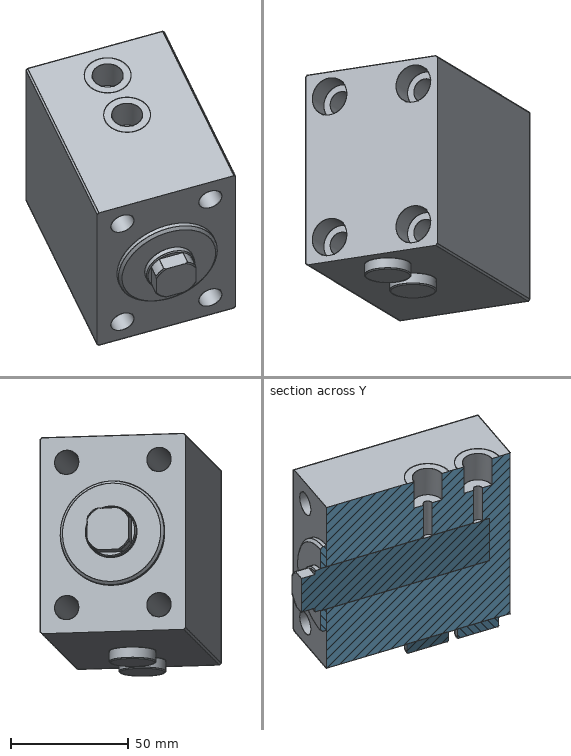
import cadquery as cq

BLOCK_LENGTH = 88.0
BLOCK_WIDTH = 63.0
BLOCK_HEIGHT = 85.0
BLOCK_CHAMFER = 0.8
AXIS_Z = BLOCK_HEIGHT / 2

BOLT_SPACING_Y = 40.0
BOLT_SPACING_Z = 63.0
BOLT_HOLE_DIAMETER = 10.5
BOLT_HEAD_DIAMETER = 16.5
BOLT_HEAD_DEPTH = 11.0

PORT_POSITIONS_X = (15.5, 39.5)
SPOTFACE_DIAMETER = 20.0
SPOTFACE_DEPTH = 0.1
PORT_DIAMETER = 13.2
PORT_DEPTH = 14.0
PORT_DRILL_DIAMETER = 4.0

PLUG_DIAMETER = SPOTFACE_DIAMETER
PLUG_HEIGHT = 5.0
PLUG_CHAMFER = 0.5

GLAND_DIAMETER = 45.0
GLAND_THICKNESS = 3.0
GLAND_CHAMFER = 1.2

ROD_DIAMETER = 22.0
ROD_START_X = 10.0
ROD_COLLAR_LENGTH = 2.7
ROD_CHAMFER = 0.5
ROD_END_X = 100.0
WRENCH_SIZE = 18.0
WRENCH_CORNER_DIAMETER = ROD_DIAMETER - 2 * ROD_CHAMFER

COLLAR_START_X = BLOCK_LENGTH + GLAND_THICKNESS
COLLAR_END_X = COLLAR_START_X + ROD_COLLAR_LENGTH


def revolve_about_x(profile):
    """Turn an outline of (X, radius) points about the rod axis."""
    return (
        cq.Workplane("XZ", origin=(0, 0, AXIS_Z))
        .polyline(profile)
        .close()
        .revolve(360, (0, 0), (1, 0))
    )


def cylinder_z(x, diameter, bottom, top):
    """Upright cylinder on the Y = 0 plane."""
    return (
        cq.Workplane("XY", origin=(x, 0, bottom))
        .circle(diameter / 2)
        .extrude(top - bottom)
    )


def make_bolt_holes():
    """Counterbored holes through the block, heads on the left face."""
    pattern = cq.Workplane("YZ", origin=(0, 0, AXIS_Z)).rarray(BOLT_SPACING_Y, BOLT_SPACING_Z, 2, 2)
    shanks = pattern.circle(BOLT_HOLE_DIAMETER / 2).extrude(BLOCK_LENGTH)
    heads = pattern.circle(BOLT_HEAD_DIAMETER / 2).extrude(BOLT_HEAD_DEPTH)
    return shanks.union(heads)


def make_port(x):
    """Spotfaced port with a small drilling down to the rod bore."""
    spotface = cylinder_z(x, SPOTFACE_DIAMETER, BLOCK_HEIGHT - SPOTFACE_DEPTH, BLOCK_HEIGHT)
    port = cylinder_z(x, PORT_DIAMETER, BLOCK_HEIGHT - PORT_DEPTH, BLOCK_HEIGHT)
    drilling = cylinder_z(x, PORT_DRILL_DIAMETER, AXIS_Z, BLOCK_HEIGHT)
    return spotface.union(port).union(drilling)


def make_block():
    """Chamfered block with bolt holes, ports, plug seats and a blind rod bore."""
    block = (
        cq.Workplane("XY")
        .box(BLOCK_LENGTH, BLOCK_WIDTH, BLOCK_HEIGHT, centered=(False, True, False))
        .edges("|X")
        .chamfer(BLOCK_CHAMFER)
    )
    rod_radius = ROD_DIAMETER / 2
    rod_bore = revolve_about_x(
        [(ROD_START_X, 0), (ROD_START_X, rod_radius), (BLOCK_LENGTH, rod_radius), (BLOCK_LENGTH, 0)]
    )
    block = block.cut(make_bolt_holes()).cut(rod_bore)
    for x in PORT_POSITIONS_X:
        plug_seat = cylinder_z(x, SPOTFACE_DIAMETER, 0, SPOTFACE_DEPTH)
        block = block.cut(make_port(x)).cut(plug_seat)
    return block.solids()


def make_plug(x):
    """Round plug with a chamfered lower rim, turned about its own upright axis."""
    radius = PLUG_DIAMETER / 2
    top = SPOTFACE_DEPTH
    bottom = top - PLUG_HEIGHT
    return (
        cq.Workplane("XZ", origin=(x, 0, 0))
        .moveTo(0, top)
        .lineTo(-radius, top)
        .lineTo(-radius, bottom + PLUG_CHAMFER)
        .lineTo(-radius + PLUG_CHAMFER, bottom)
        .lineTo(0, bottom)
        .close()
        .revolve(360, (0, 0), (0, 1))
    )


def make_gland():
    """Ring around the rod with a chamfered outer rim."""
    inner_radius = ROD_DIAMETER / 2
    outer_radius = GLAND_DIAMETER / 2
    return revolve_about_x(
        [
            (BLOCK_LENGTH, inner_radius),
            (BLOCK_LENGTH, outer_radius),
            (COLLAR_START_X - GLAND_CHAMFER, outer_radius),
            (COLLAR_START_X, outer_radius - GLAND_CHAMFER),
            (COLLAR_START_X, inner_radius),
        ]
    )


def make_rod():
    """Round rod whose free end is milled to a square with rounded corners."""
    radius = ROD_DIAMETER / 2
    shaft = revolve_about_x(
        [
            (ROD_START_X, 0),
            (ROD_START_X, radius),
            (COLLAR_END_X - ROD_CHAMFER, radius),
            (COLLAR_END_X, radius - ROD_CHAMFER),
            (COLLAR_END_X, 0),
        ]
    )
    corner_radius = WRENCH_CORNER_DIAMETER / 2
    round_end = revolve_about_x(
        [
            (COLLAR_END_X, 0),
            (COLLAR_END_X, corner_radius),
            (ROD_END_X - ROD_CHAMFER, corner_radius),
            (ROD_END_X, corner_radius - ROD_CHAMFER),
            (ROD_END_X, 0),
        ]
    )
    square = (
        cq.Workplane("YZ", origin=(COLLAR_END_X, 0, AXIS_Z))
        .rect(WRENCH_SIZE, WRENCH_SIZE)
        .extrude(ROD_END_X - COLLAR_END_X)
    )
    return shaft.union(round_end.intersect(square)).solids()


block = make_block()
plugs = [make_plug(x) for x in PORT_POSITIONS_X]
gland = make_gland()
rod = make_rod()

result = cq.Compound.makeCompound([block.val(), *[plug.val() for plug in plugs], gland.val(), rod.val()])